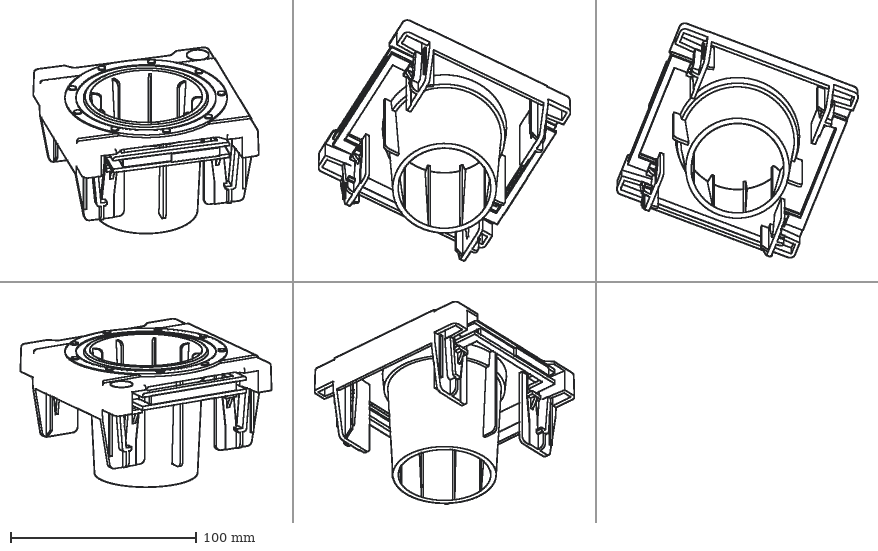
import cadquery as cq

total_height = 69.0
skirt_z = 51.9
ceiling_z = 64.3
cover_z = 66.8
strip_z = 67.9
ring_z = 68.4
panel_z = 46.0

half_x = 103.0 / 2
half_y = 99.0 / 2
draft = 0.5
panel_draft = 0.26
wall = 2.1
corner_radius = 3.1
cover_edge_radius = 1.3
strip_edge_radius = 1.6
strip_half_x = 35.1
strip_bevel = strip_z - cover_z
notch_depth = 4.1
notch_half_inner = 27.0
notch_half_outer = 31.1
notch_radius = 2.5
window_half_y = 39.6

bore_top_radius = 60.6 / 2
bore_bottom_radius = 24.9
throat_depth = 1.0
tube_bottom_radius = 27.9
tube_top_radius = 30.6
collar_top_radius = 33.5
collar_bottom_radius = 32.7
collar_z = 55.6
rim_foot_radius = 33.7
rim_top_radius = 32.9
groove_radius = 75.6 / 2
ring_radius = 87.5 / 2

pin_count = 9
pin_radius = 4.0 / 2
pin_circle_radius = 40.9
disc_radius = 12.0 / 2
disc_x = -42.8
disc_y = 41.1
disc_depth = 0.2
rib_width = 1.2
rib_top_z = 67.0
rib_top_radius = 2.6
rib_root_depth = 1.0

leg_x = 36.6
leg_thickness = 2.6
leg_inner_y = 22.5
leg_bottom_z = 17.8
leg_bottom_y = 44.3
leg_radius = 3.1
leg_step = 0.5
step_low_y = 28.1
step_low_z = 31.4
lip_x = 40.4
opening_bottom_z = 29.7
opening_bottom_y = (34.9, 36.6)
opening_top_y = (32.9, 38.5)
lip_width = 2.5
hook_z = 27.5
hook_tip_y = 33.2
hook_radius = 2.1
hook_chamfer = 1.0
low_fin_radius = 3.6
strake_y = 44.6
strake_width = 1.6
strake_height = 0.8
strake_z = 25.3
web_y = 41.0
web_thickness = 1.2
web_x = 30.0
web_z = 18.5

rail_x = 50.7
rail_back_x = 46.9
rail_web_x = (47.9, 50.0)
rail_half_y = 32.7
rail_web_half_y = 26.8
rail_z = (52.7, 62.1)
flange_thickness = 2.2
flange_corner = 1.5
bracket_y = (26.3, 33.2)
bracket_z = (47.8, 50.0)
bracket_x = 40.0
gusset_y = 29.7
gusset_width = 1.9
gusset_z = 41.4

fin_x = 37.1
fin_width = 1.5
fin_z = 12.3


def box(x0, x1, y0, y1, z0, z1):
    """Box between two opposite corners."""
    return cq.Workplane("XY").box(x1 - x0, y1 - y0, z1 - z0, centered=False).translate((x0, y0, z0))


def slab(points, x0, x1):
    """Outline in Y and Z, made solid from x0 to x1."""
    return cq.Workplane("YZ").polyline(points).close().extrude(x1 - x0).translate((x0, 0, 0))


def turned(points):
    """Outline in radius and Z, turned about the Z axis."""
    return cq.Workplane("XZ").polyline(points).close().revolve(360, (0, 0, 0), (0, 1, 0))


def both_sides_y(body):
    return body.union(body.mirror("XZ"))


def drafted_block(half_length, top_z):
    """Block along X whose two long sides lean inward."""
    lean = draft * (top_z - skirt_z) / (cover_z - skirt_z)
    outline = [
        (-half_y, skirt_z),
        (half_y, skirt_z),
        (half_y - lean, top_z),
        (-half_y + lean, top_z),
    ]
    return slab(outline, -half_length, half_length)


def make_cover():
    body = drafted_block(half_x, cover_z)
    body = body.edges("(not #Z) and (not |X) and (not |Y)").fillet(corner_radius)
    notch_x = half_x - notch_depth
    outline = [
        (half_x + notch_depth, -notch_half_outer),
        (half_x, -notch_half_outer),
        (notch_x, -notch_half_inner),
        (notch_x, notch_half_inner),
        (half_x, notch_half_outer),
        (half_x + notch_depth, notch_half_outer),
    ]
    notch = cq.Workplane("XY").workplane(offset=skirt_z).polyline(outline).close().extrude(cover_z - skirt_z)
    notch = notch.edges("|Z").edges("<X").fillet(notch_radius)
    body = body.cut(notch).cut(notch.mirror("YZ"))
    body = body.faces(">Z").edges().fillet(cover_edge_radius)

    strip = drafted_block(strip_half_x + strip_bevel, strip_z)
    strip = strip.faces(">Z").edges("|X").fillet(strip_edge_radius)
    bevel = [
        (strip_half_x + strip_bevel, cover_z),
        (strip_half_x + strip_bevel, strip_z),
        (strip_half_x, strip_z),
    ]
    bevel_cut = cq.Workplane("XZ").polyline(bevel).close().extrude(half_y, both=True)
    strip = strip.cut(bevel_cut).cut(bevel_cut.mirror("YZ"))
    body = body.union(strip)

    cavity_y = half_y - draft - wall
    body = body.cut(box(wall - half_x, half_x - wall, -cavity_y, cavity_y, skirt_z, ceiling_z))
    body = body.cut(box(-half_x, half_x, -window_half_y, window_half_y, skirt_z, ceiling_z))

    disc = cq.Workplane("XY").workplane(offset=cover_z - disc_depth).center(disc_x, disc_y)
    return body.cut(disc.circle(disc_radius).extrude(disc_depth))


def make_tube():
    """Tube, collar, rim, groove and ring, still without the bore."""
    profile = [
        (0, 0),
        (tube_bottom_radius, 0),
        (tube_top_radius, collar_z),
        (collar_bottom_radius, collar_z),
        (collar_top_radius, ceiling_z),
        (ring_radius, ceiling_z),
        (ring_radius, ring_z),
        (groove_radius, ring_z),
        (groove_radius, strip_z),
        (rim_foot_radius, strip_z),
        (rim_top_radius, total_height),
        (0, total_height),
    ]
    return turned(profile)


def make_bore():
    profile = [
        (0, 0),
        (bore_bottom_radius, 0),
        (bore_top_radius, total_height - throat_depth),
        (bore_top_radius, total_height),
        (0, total_height),
    ]
    return turned(profile)


def make_pins():
    pins = cq.Workplane("XY").workplane(offset=ceiling_z)
    pins = pins.polarArray(pin_circle_radius, 0, 360, pin_count)
    return pins.circle(pin_radius).extrude(total_height - ceiling_z)


def make_inner_ribs():
    """Upright ribs on the bore, rounded at their inner top corner."""
    profile = [
        (bore_bottom_radius, 0),
        (bore_bottom_radius + rib_root_depth, 0),
        (bore_top_radius + rib_root_depth, rib_top_z),
        (bore_bottom_radius, rib_top_z),
    ]
    rib = cq.Workplane("XZ").polyline(profile).close().extrude(rib_width / 2, both=True)
    rib = rib.edges("|Y").edges(cq.selectors.NearestToPointSelector((bore_bottom_radius, 0, rib_top_z)))
    rib = rib.fillet(rib_top_radius)
    ribs = rib
    for index in range(1, pin_count):
        ribs = ribs.union(rib.rotate((0, 0, 0), (0, 0, 1), 360 / pin_count * index))
    return ribs


def make_fin():
    """Upright fin on the -X side of the tube, rounded at its outer foot."""
    fin = box(-fin_x, -tube_bottom_radius, -fin_width / 2, fin_width / 2, fin_z, ceiling_z)
    return fin.edges("|Y and <X and <Z").fillet(leg_radius)


def make_leg_plate():
    """Plate of the -X, +Y leg with its tapered opening."""
    outline = [
        (leg_inner_y, ceiling_z),
        (leg_inner_y, leg_bottom_z),
        (leg_bottom_y, leg_bottom_z),
        (half_y - panel_draft, panel_z),
        (half_y, skirt_z),
        (half_y - wall, skirt_z),
        (half_y - wall, ceiling_z),
    ]
    leg = slab(outline, -leg_x, leg_thickness - leg_x)
    leg = leg.edges("|X and <Z").fillet(leg_radius)

    step_outline = [
        (leg_inner_y, ceiling_z),
        (bracket_y[0], ceiling_z),
        (bracket_y[0], bracket_z[0]),
        (step_low_y, step_low_z),
        (step_low_y, leg_bottom_z),
        (leg_inner_y, leg_bottom_z),
    ]
    leg = leg.cut(slab(step_outline, -leg_x, leg_step - leg_x))

    opening = [
        (opening_top_y[0], ceiling_z),
        (opening_top_y[0], skirt_z),
        (opening_bottom_y[0], opening_bottom_z),
        (opening_bottom_y[1], opening_bottom_z),
        (opening_top_y[1], skirt_z),
        (opening_top_y[1], ceiling_z),
    ]
    leg = leg.cut(slab(opening, -leg_x, leg_thickness - leg_x))

    return leg.cut(box(-leg_x, leg_thickness - leg_x, leg_inner_y, opening_top_y[0], rail_z[1], ceiling_z))


def make_lip():
    """Lip along the leg opening, curling into a hook, with a fin below it."""
    lip_foot_y = opening_bottom_y[1] + lip_width
    lip = (
        cq.Workplane("YZ")
        .moveTo(opening_top_y[1], skirt_z)
        .lineTo(opening_bottom_y[1], opening_bottom_z)
        .lineTo(hook_tip_y, opening_bottom_z)
        .lineTo(hook_tip_y, hook_z + hook_chamfer)
        .lineTo(hook_tip_y + hook_chamfer, hook_z)
        .lineTo(lip_foot_y - hook_radius, hook_z)
        .radiusArc((lip_foot_y, hook_z + hook_radius), -hook_radius)
        .lineTo(opening_top_y[1] + lip_width, skirt_z)
        .close()
        .extrude(lip_x - leg_x)
        .translate((-lip_x, 0, 0))
    )
    low_fin = box(-lip_x, -leg_x, *opening_bottom_y, leg_bottom_z, hook_z)
    low_fin = low_fin.edges("|Y and <X and <Z").fillet(low_fin_radius)
    return lip.union(low_fin)


def make_strake():
    """Low upright strip on the outer face of the leg."""
    half_width = strake_width / 2
    strake_x = leg_x + strake_height
    return box(-strake_x, -leg_x, strake_y - half_width, strake_y + half_width, strake_z, skirt_z)


def make_web():
    """Stiffening web behind the leg, bevelled at its foot."""
    web_back = leg_x - leg_thickness
    web_bevel = web_back - web_x
    web_outline = [
        (-web_back, ceiling_z),
        (-web_back, web_z),
        (-web_x, web_z + web_bevel),
        (-web_x, ceiling_z),
    ]
    web = cq.Workplane("XZ").polyline(web_outline).close().extrude(-web_thickness)
    return web.translate((0, web_y, 0))


def make_post():
    """Corner-post wall reaching from the cover's side to the leg."""
    post_outline = [
        (-half_x, window_half_y),
        (-leg_x, opening_top_y[1]),
        (-leg_x, opening_top_y[1] + wall),
        (-half_x, window_half_y + wall),
    ]
    post = cq.Workplane("XY").workplane(offset=skirt_z).polyline(post_outline).close()
    return post.extrude(ceiling_z - skirt_z)


def make_bracket():
    """Bracket and gusset on the leg face below the rail."""
    bracket = box(-bracket_x, -leg_x, *bracket_y, *bracket_z)
    gusset_outline = [
        (-leg_x, gusset_z),
        (-leg_x, bracket_z[0]),
        (-bracket_x, bracket_z[0]),
    ]
    gusset = cq.Workplane("XZ").polyline(gusset_outline).close().extrude(-gusset_width)
    gusset = gusset.translate((0, gusset_y - gusset_width / 2, 0))
    return bracket.union(gusset)


def make_leg():
    """Complete leg on the -X, +Y corner."""
    leg = make_leg_plate().union(make_lip()).union(make_strake())
    return leg.union(make_web()).union(make_post()).union(make_bracket())


def make_rail():
    """Channel-shaped rail on the -X side with arms back to the legs."""
    low_z, high_z = rail_z
    beam = box(-rail_x, -rail_back_x, -rail_half_y, rail_half_y, low_z, high_z)
    arm = box(-rail_back_x, -leg_x, rail_web_half_y, rail_half_y, low_z, high_z)
    rail = beam.union(both_sides_y(arm))
    rail = rail.edges("|X and >Z").edges(">Y or <Y").fillet(flange_corner)
    gap_low = low_z + flange_thickness
    gap_high = high_z - flange_thickness
    rail = rail.cut(box(-rail_x, -leg_x, -half_y, half_y, gap_low, gap_high))
    web = box(-rail_web_x[1], -rail_web_x[0], -rail_web_half_y, rail_web_half_y, gap_low, gap_high)
    return rail.union(web)


def make_tab():
    """Flat tab on the +X rail."""
    tab_low = rail_z[0] + flange_thickness
    tab_high = rail_z[1] - flange_thickness
    return box(rail_web_x[0], half_x, 0, rail_web_half_y, tab_low, tab_high)


def make_panel():
    """Strip of wall below the skirt joining the two +Y legs."""
    outline = [
        (half_y - wall, panel_z),
        (half_y - panel_draft, panel_z),
        (half_y, skirt_z),
        (half_y - draft, skirt_z + wall),
        (half_y - wall - draft, skirt_z + wall),
    ]
    return slab(outline, -leg_x, leg_x)


side = both_sides_y(make_leg()).union(make_rail()).union(make_fin())

result = make_cover().union(make_tube()).union(make_pins())
result = result.union(side).union(side.mirror("YZ")).union(make_tab())
result = result.union(both_sides_y(make_panel()))
result = result.cut(make_bore()).union(make_inner_ribs())